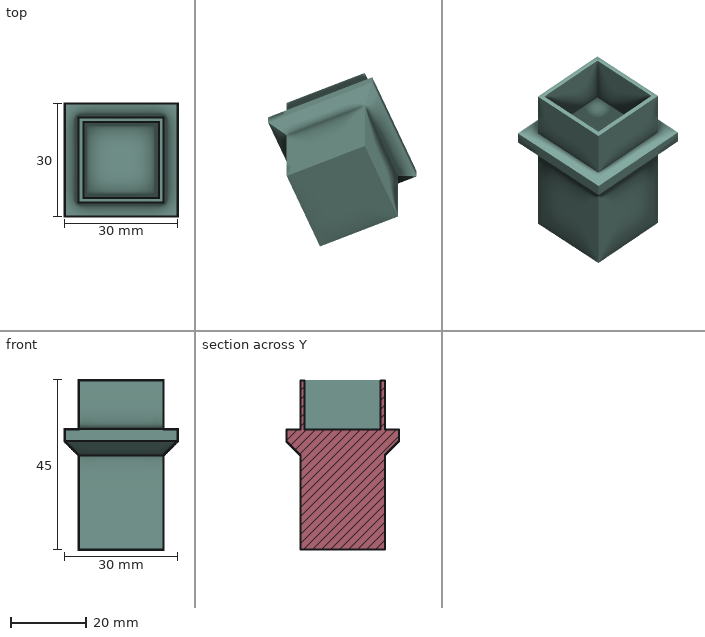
import cadquery as cq

total_height = 45.0
body_width = 22.5
flange_width = 30.0
lower_height = 25.05
socket_height = 13.0
wall = 1.2

taper_height = (flange_width - body_width) / 2
flange_top = total_height - socket_height
plate_bottom = lower_height + taper_height
pocket_width = body_width - 2 * wall


def square_block(width, bottom, top):
    """Square prism centred on the Z axis."""
    return cq.Workplane("XY").workplane(offset=bottom).rect(width, width).extrude(top - bottom)


body = square_block(body_width, 0, total_height)

plate = square_block(flange_width, plate_bottom, flange_top)
taper = (
    cq.Workplane("XY")
    .workplane(offset=lower_height)
    .rect(body_width, body_width)
    .workplane(offset=taper_height)
    .rect(flange_width, flange_width)
    .loft(ruled=True)
)

pocket = square_block(pocket_width, flange_top, total_height)

result = body.union(taper).union(plate).cut(pocket)